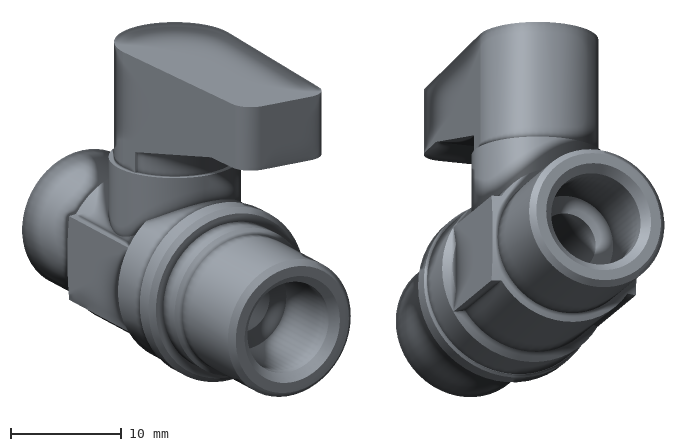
import cadquery as cq
import math


total_length = 37.0
inlet_x = -16.45
outlet_x = inlet_x + total_length
shoulder_x = -7.47
joint_x = 7.3

spigot_diameter = 13.0
spigot_chamfer = 0.5
port_diameter = 8.6
port_mouth_diameter = 10.05
port_depth = 8.15
passage_diameter = 5.5
port_cone_half_angle = 75.0

barrel_diameter = 14.5
bulge_diameter = 16.0
bulge_x = 2.55
flats_width = 13.85
shoulder_slope = 0.3
neck_diameter = 12.0
neck_top_z = 10.5

flange_diameter = 16.5
flange_length = 2.25
flange_inner_chamfer = 0.22
flange_outer_chamfer = 0.48
collar_diameter = 14.0
collar_length = 2.48

hub_diameter = 11.0
handle_top_z = 21.5
handle_tip_x = 19.55
handle_taper = 3.0
tip_radius = 2.05
lever_start_x = 1.95
lever_start_z = 12.47
lever_tip_z = 15.43
lever_knee_x = 14.17


def revolve_about_x(points):
    """Solid of revolution about the X axis from (x, radius) points."""
    return cq.Workplane("XY").polyline(points).close().revolve(360, (0, 0, 0), (1, 0, 0))


def port(end_x, inward):
    """Chamfered bore with a conical bottom; inward is +1 or -1 along X."""
    mouth_radius = port_mouth_diameter / 2
    port_radius = port_diameter / 2
    passage_radius = passage_diameter / 2
    mouth_depth = mouth_radius - port_radius
    cone_length = (port_radius - passage_radius) / math.tan(math.radians(port_cone_half_angle))
    return revolve_about_x([
        (end_x, 0),
        (end_x, mouth_radius),
        (end_x + inward * mouth_depth, port_radius),
        (end_x + inward * port_depth, port_radius),
        (end_x + inward * (port_depth + cone_length), passage_radius),
        (end_x + inward * (port_depth + cone_length), 0),
    ])


def passage():
    """Straight flow passage over the full length."""
    return (cq.Workplane("YZ", origin=(inlet_x, 0, 0))
            .circle(passage_diameter / 2).extrude(total_length))


def wrench_section():
    """Round barrel with square-cornered wrench flats at the sides and a slightly conical shoulder."""
    corner_radius = bulge_diameter / 2
    spigot_radius = spigot_diameter / 2
    barrel_length = bulge_x - shoulder_x
    block_length = barrel_length + corner_radius - barrel_diameter / 2
    flats_height = math.sqrt(bulge_diameter**2 - flats_width**2)
    start_plane = cq.Workplane("YZ", origin=(shoulder_x, 0, 0))
    block = start_plane.rect(flats_width, flats_height).extrude(block_length)
    between_flats = start_plane.rect(flats_width, barrel_diameter).extrude(barrel_length)
    barrel = start_plane.circle(barrel_diameter / 2).extrude(barrel_length).intersect(between_flats)
    shoulder_cone = revolve_about_x([
        (shoulder_x, 0),
        (shoulder_x, spigot_radius),
        (shoulder_x + shoulder_slope * (corner_radius - spigot_radius), corner_radius),
        (joint_x, corner_radius),
        (joint_x, 0),
    ])
    return block.union(barrel).intersect(shoulder_cone)


def make_housing():
    spigot_radius = spigot_diameter / 2
    barrel_radius = barrel_diameter / 2
    bulge_radius = bulge_diameter / 2
    spigot = revolve_about_x([
        (inlet_x, 0),
        (inlet_x, spigot_radius - spigot_chamfer),
        (inlet_x + spigot_chamfer, spigot_radius),
        (joint_x, spigot_radius),
        (joint_x, 0),
    ])
    bulge = revolve_about_x([
        (bulge_x, 0),
        (bulge_x, barrel_radius),
        (bulge_x + bulge_radius - barrel_radius, bulge_radius),
        (joint_x, bulge_radius),
        (joint_x, 0),
    ])
    neck = cq.Workplane("XY").circle(neck_diameter / 2).extrude(neck_top_z)
    outside = spigot.union(wrench_section()).union(bulge).union(neck)
    return outside.cut(port(inlet_x, 1)).cut(passage())


def make_end_cap():
    flange_radius = flange_diameter / 2
    collar_radius = collar_diameter / 2
    spigot_radius = spigot_diameter / 2
    flange_end_x = joint_x + flange_length
    collar_end_x = flange_end_x + collar_length
    outside = revolve_about_x([
        (joint_x, 0),
        (joint_x, flange_radius - flange_inner_chamfer),
        (joint_x + flange_inner_chamfer, flange_radius),
        (flange_end_x - flange_outer_chamfer, flange_radius),
        (flange_end_x, flange_radius - flange_outer_chamfer),
        (flange_end_x, collar_radius),
        (collar_end_x - (collar_radius - spigot_radius), collar_radius),
        (collar_end_x, spigot_radius),
        (outlet_x - spigot_chamfer, spigot_radius),
        (outlet_x, spigot_radius - spigot_chamfer),
        (outlet_x, 0),
    ])
    return outside.cut(port(outlet_x, -1)).cut(passage())


def make_handle():
    hub_radius = hub_diameter / 2
    taper = math.radians(handle_taper)
    tip_y = hub_radius - handle_tip_x * math.tan(taper)
    handle_height = handle_top_z - neck_top_z

    grip = (cq.Workplane("XY", origin=(0, 0, neck_top_z))
            .moveTo(0, hub_radius)
            .threePointArc((-hub_radius, 0), (0, -hub_radius))
            .lineTo(handle_tip_x, -tip_y)
            .lineTo(handle_tip_x, tip_y)
            .close().extrude(handle_height)
            .edges("|Z and >X").fillet(tip_radius))

    clearance = (cq.Workplane("XZ")
                 .polyline([
                     (lever_start_x, neck_top_z),
                     (lever_start_x, lever_start_z),
                     (lever_knee_x, lever_tip_z),
                     (handle_tip_x, lever_tip_z),
                     (handle_tip_x, neck_top_z),
                 ])
                 .close().extrude(hub_radius, both=True))

    hub = cq.Workplane("XY", origin=(0, 0, neck_top_z)).circle(hub_radius).extrude(handle_height)
    return grip.cut(clearance.cut(hub))


housing = make_housing()
end_cap = make_end_cap()
handle = make_handle()

result = cq.Compound.makeCompound([housing.val(), end_cap.val(), handle.val()])